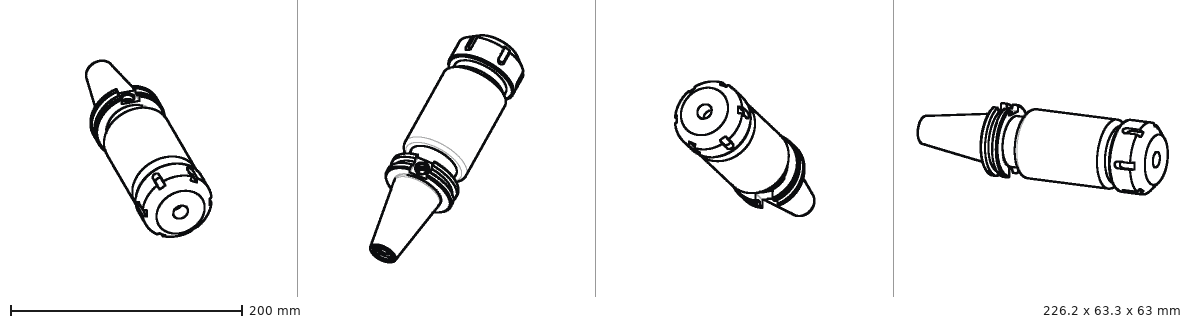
import cadquery as cq
import math

ARC_MIDDLE = 1 - math.sqrt(0.5)

total_length = 226.2
bore_diameter = 13.3

taper_ratio = 7 / 24
gauge_x = 68.3
gauge_diameter = 44.3
tip_diameter = gauge_diameter - taper_ratio * gauge_x
tip_chamfer = 1.0

socket_diameter = 16.5
socket_depth = 3.6
socket_chamfer = 1.0
socket_cone_length = (socket_diameter - bore_diameter) / 2

flange_start_x = 71.0
flange_end_x = 87.5
flange_diameter = 63.3
flange_chamfer = 1.1
flange_root_radius = 0.7
groove_center_x = 79.5
groove_floor_diameter = 55.9
groove_floor_width = 4.0
groove_mouth_width = 6.8

keyway_width = 16.0
keyway_fillet = 0.5
upper_keyway_height = 24.9
lower_keyway_height = 22.6

hole_diameter = 10.2
hole_chamfer = 1.0
hole_depth = 5.2
pilot_diameter = 8.0
pilot_depth = 9.0
drill_point_angle = 118.0

rear_neck_diameter = gauge_diameter
body_start_x = 102.7
body_end_x = 189.1
body_diameter = 60.5
body_fillet = 3.5
nose_diameter = 50.2
body_chamfer = (body_diameter - nose_diameter) / 2

nut_start_x = 195.7
nut_diameter = 63.0
nut_rim_diameter = body_diameter
nut_rim_length = 1.4
nut_face_diameter = 44.0
nut_cone_length = (nut_diameter - nut_face_diameter) / 2
nose_insertion = 15.8

slot_count = 6
slot_width = 6.0
slot_start_x = 201.8
slot_floor_radius = 28.5
slot_end_slope = 1.2


def revolve_about_x(profile):
    """Revolve a closed (x, radius) profile a full turn about the X axis."""
    return profile.close().revolve(360, (0, 0, 0), (1, 0, 0))


def cylinder_x(diameter, start_x, end_x):
    return cq.Workplane("YZ", origin=(start_x, 0, 0)).circle(diameter / 2).extrude(end_x - start_x)


def holder_blank():
    """Turned outside of the holder, from the taper tip to the end of the nose."""
    tip_radius = tip_diameter / 2
    gauge_radius = gauge_diameter / 2
    flange_radius = flange_diameter / 2
    groove_radius = groove_floor_diameter / 2
    neck_radius = rear_neck_diameter / 2
    body_radius = body_diameter / 2
    nose_radius = nose_diameter / 2
    root = flange_root_radius
    root_middle = root * ARC_MIDDLE
    fillet_middle = body_fillet * ARC_MIDDLE
    profile = (
        cq.Workplane("XY")
        .lineTo(0, tip_radius - tip_chamfer)
        .lineTo(tip_chamfer, tip_radius + tip_chamfer * taper_ratio / 2)
        .lineTo(gauge_x, gauge_radius)
        .lineTo(flange_start_x - root, gauge_radius)
        .threePointArc(
            (flange_start_x - root_middle, gauge_radius + root_middle),
            (flange_start_x, gauge_radius + root),
        )
        .lineTo(flange_start_x, flange_radius - flange_chamfer)
        .lineTo(flange_start_x + flange_chamfer, flange_radius)
        .lineTo(groove_center_x - groove_mouth_width / 2, flange_radius)
        .lineTo(groove_center_x - groove_floor_width / 2, groove_radius)
        .lineTo(groove_center_x + groove_floor_width / 2, groove_radius)
        .lineTo(groove_center_x + groove_mouth_width / 2, flange_radius)
        .lineTo(flange_end_x - flange_chamfer, flange_radius)
        .lineTo(flange_end_x, flange_radius - flange_chamfer)
        .lineTo(flange_end_x, neck_radius + root)
        .threePointArc(
            (flange_end_x + root_middle, neck_radius + root_middle),
            (flange_end_x + root, neck_radius),
        )
        .lineTo(body_start_x, neck_radius)
        .lineTo(body_start_x, body_radius - body_fillet)
        .threePointArc(
            (body_start_x + fillet_middle, body_radius - fillet_middle),
            (body_start_x + body_fillet, body_radius),
        )
        .lineTo(body_end_x - body_chamfer, body_radius)
        .lineTo(body_end_x, nose_radius)
        .lineTo(nut_start_x + nose_insertion, nose_radius)
        .lineTo(nut_start_x + nose_insertion, 0)
    )
    return revolve_about_x(profile)


def holder_bore():
    """Through bore with a chamfered socket that narrows through a cone."""
    socket_radius = socket_diameter / 2
    bore_radius = bore_diameter / 2
    profile = (
        cq.Workplane("XY")
        .lineTo(0, socket_radius + socket_chamfer)
        .lineTo(socket_chamfer, socket_radius)
        .lineTo(socket_depth, socket_radius)
        .lineTo(socket_depth + socket_cone_length, bore_radius)
        .lineTo(total_length, bore_radius)
        .lineTo(total_length, 0)
    )
    return revolve_about_x(profile)


def keyway(floor_height, side):
    """Block that cuts one keyway; side is +1 for the top and -1 for the bottom."""
    flange_width = flange_end_x - flange_start_x
    height = flange_diameter / 2 - floor_height
    center_x = (flange_start_x + flange_end_x) / 2
    center_z = side * (floor_height + height / 2)
    floor_face = "<Z" if side > 0 else ">Z"
    block = cq.Workplane("XY").box(flange_width, keyway_width, height)
    block = block.faces(floor_face).edges("|X").fillet(keyway_fillet)
    return block.translate((center_x, 0, center_z))


def keyway_hole():
    """Chamfered hole, smaller pilot and drill point below the upper keyway floor."""
    hole_radius = hole_diameter / 2
    pilot_radius = pilot_diameter / 2
    point_length = pilot_radius / math.tan(math.radians(drill_point_angle / 2))
    center_x = (flange_start_x + flange_end_x) / 2
    return (
        cq.Workplane("XZ", origin=(center_x, 0, upper_keyway_height))
        .lineTo(hole_radius + hole_chamfer, 0)
        .lineTo(hole_radius, -hole_chamfer)
        .lineTo(hole_radius, -hole_depth)
        .lineTo(pilot_radius, -hole_depth)
        .lineTo(pilot_radius, -pilot_depth)
        .lineTo(0, -pilot_depth - point_length)
        .close()
        .revolve(360, (0, 0, 0), (0, 1, 0))
    )


def make_holder():
    holder = holder_blank().cut(holder_bore())
    holder = holder.cut(keyway(upper_keyway_height, 1))
    holder = holder.cut(keyway(lower_keyway_height, -1))
    return holder.cut(keyway_hole())


def nut_slot():
    """Cutter for the slot on the +Z side: open at the nut face, with a sloped round inner end."""
    slot_depth = nut_diameter / 2 - slot_floor_radius
    cut_height = 2 * slot_depth
    half_width = slot_width / 2
    floor_end_x = slot_start_x + slot_depth * slot_end_slope
    arc_center_x = floor_end_x + half_width
    open_end_x = total_length + cut_height * slot_end_slope
    outline = (
        cq.Workplane("XY", origin=(0, 0, slot_floor_radius))
        .moveTo(open_end_x, half_width)
        .lineTo(arc_center_x, half_width)
        .threePointArc((floor_end_x, 0), (arc_center_x, -half_width))
        .lineTo(open_end_x, -half_width)
        .close()
    )
    rise = cq.Vector(-cut_height * slot_end_slope, 0, cut_height)
    return cq.Workplane(cq.Solid.extrudeLinear(outline.val(), [], rise))


def make_nut():
    """Nut with a recess for the holder nose and a wall with the through bore in front of it."""
    nut_radius = nut_diameter / 2
    rim_radius = nut_rim_diameter / 2
    profile = (
        cq.Workplane("XY")
        .moveTo(nut_start_x, 0)
        .lineTo(nut_start_x, rim_radius)
        .lineTo(nut_start_x + nut_rim_length, rim_radius)
        .lineTo(nut_start_x + nut_rim_length, nut_radius)
        .lineTo(total_length - nut_cone_length, nut_radius)
        .lineTo(total_length, nut_face_diameter / 2)
        .lineTo(total_length, 0)
    )
    nut = revolve_about_x(profile)
    nut = nut.cut(cylinder_x(nose_diameter, nut_start_x, nut_start_x + nose_insertion))
    nut = nut.cut(cylinder_x(bore_diameter, nut_start_x, total_length))
    for index in range(slot_count):
        angle = 90 + index * 360 / slot_count
        nut = nut.cut(nut_slot().rotate((0, 0, 0), (1, 0, 0), angle))
    return nut


holder = make_holder()
nut = make_nut()

result = cq.Compound.makeCompound([holder.val(), nut.val()])